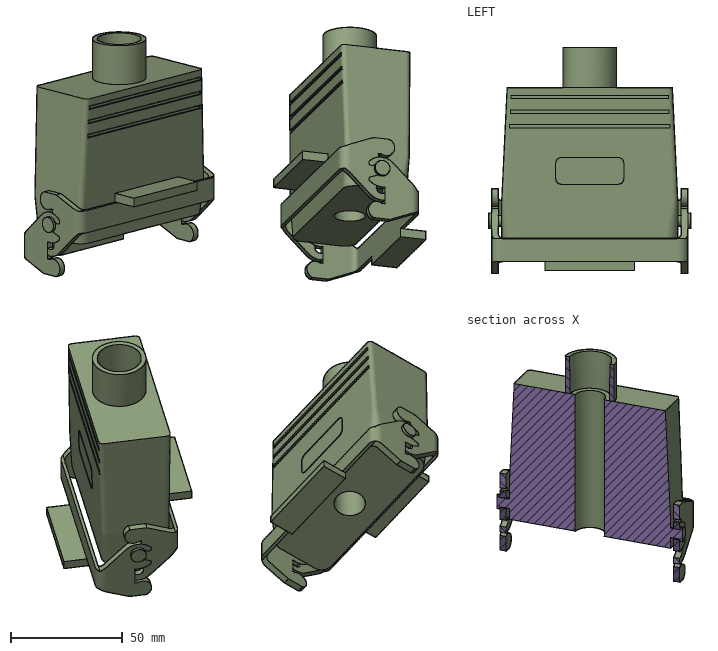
import cadquery as cq
import math


hood_height = 67.2
shoulder_z = 17.1
top_half_width = 16.3
bottom_half_width = 14.85
top_half_length = 36.95
bottom_half_length = 39.35
upper_corner_radius = 2.0
bottom_corner_radius = 5.5
width_taper = (top_half_width - bottom_half_width) / hood_height
length_taper = (bottom_half_length - top_half_length) / (hood_height - shoulder_z)
cable_hole_diameter = 14.0

groove_count = 3
groove_height = 1.5
groove_depth = 0.9
groove_pitch = 6.55
first_groove_drop = 4.2

label_length = 30.4
label_height = 12.0
label_corner_radius = 2.6
label_depth = 0.2
label_z = 30.0

tube_diameter = 24.0
tube_length = 18.0
tube_bore_bottom_diameter = 18.92
tube_bore_top_diameter = 19.66

lever_axis_z = 3.1
pivot_rise = 4.6
hook_bottom = -18.95
lever_outer_x = 18.7
strap_thickness = 1.5
strap_inner_x = lever_outer_x - strap_thickness
lever_outer_y = 43.85
cheek_thickness = 3.05
cheek_inner_y = lever_outer_y - cheek_thickness
bend_outer_radius = 4.25
bend_inner_radius = 2.5

lobe_centre_rise = 2.31
lobe_radius = 7.84
cheek_top_slope = math.radians(44.0)
cheek_bottom_slope = math.radians(21.8)
hook_bottom_start_x = -3.96

mouth_slope = math.radians(19.0)
jaw_tip_radius = 1.23
lower_jaw_radius = 8.5

hook_slot_wall_x = -1.49
hook_slot_floor = -11.72
hook_nose_x = 2.0
hook_nose_rise = -15.2
hook_nose_radius = 4.15

handle_reach = 29.1
handle_length = 40.0
handle_thickness = 4.0

pin_diameter = 4.9
pin_head_diameter = 7.0
pin_end_y = 45.2
pin_root_depth = 1.0
pin_z = lever_axis_z + pivot_rise
mouth_half_width = pin_diameter / 2


def half_width_at(z):
    return bottom_half_width + width_taper * z


def flat_half_length_at(z):
    """Half length of the flat part of a side face above the shoulder."""
    return bottom_half_length - length_taper * (z - shoulder_z) - upper_corner_radius


def rounded_section(z, half_width, half_length, corner_radius):
    sketch = cq.Sketch().rect(2 * half_width, 2 * half_length).vertices().fillet(corner_radius)
    return sketch.moved(cq.Location(cq.Vector(0, 0, z)))


def tapered_block(lower_section, upper_section):
    return cq.Workplane("XY").placeSketch(lower_section, upper_section).loft(ruled=True)


def make_hood_shell():
    bottom = rounded_section(0, bottom_half_width, bottom_half_length, bottom_corner_radius)
    shoulder = rounded_section(
        shoulder_z, half_width_at(shoulder_z), bottom_half_length, upper_corner_radius
    )
    top = rounded_section(hood_height, top_half_width, top_half_length, upper_corner_radius)
    return tapered_block(bottom, shoulder).union(tapered_block(shoulder, top))


def make_groove(index):
    """Bars that cut one groove into both side faces."""
    z = hood_height - first_groove_drop - index * groove_pitch
    floor_x = half_width_at(z) - groove_depth
    bar_width = 4 * groove_depth
    return (
        cq.Workplane("XY")
        .pushPoints([(side * (floor_x + bar_width / 2), 0) for side in (-1, 1)])
        .box(bar_width, 2 * flat_half_length_at(z), groove_height)
        .translate((0, 0, z))
    )


def make_label_recess():
    """Shallow rounded panel that follows the lean of the -X side face."""
    lean = math.degrees(math.atan(width_taper))
    return (
        cq.Workplane("YZ")
        .rect(label_length, label_height)
        .extrude(label_depth, both=True)
        .edges("|X").fillet(label_corner_radius)
        .rotate((0, 0, 0), (0, 1, 0), -lean)
        .translate((-half_width_at(label_z), 0, label_z))
    )


def make_pin(side, start_y):
    """Pin shaft from start_y to the lever's outer face, with a head beyond it."""
    return (
        cq.Workplane("XZ", origin=(0, side * start_y, pin_z))
        .circle(pin_diameter / 2)
        .extrude(-side * (lever_outer_y - start_y))
        .union(
            cq.Workplane("XZ", origin=(0, side * lever_outer_y, pin_z))
            .circle(pin_head_diameter / 2)
            .extrude(-side * (pin_end_y - lever_outer_y))
        )
    )


def make_hood():
    hood = make_hood_shell()
    for index in range(groove_count):
        hood = hood.cut(make_groove(index))
    hood = hood.cut(make_label_recess())
    pin_root_y = bottom_half_length - pin_root_depth
    for side in (-1, 1):
        hood = hood.union(make_pin(side, pin_root_y))
    cable_hole = cq.Workplane("XY").circle(cable_hole_diameter / 2).extrude(hood_height)
    return hood.cut(cable_hole)


def make_tube():
    """Tube on the hood roof with a bore that widens evenly toward its mouth."""
    return (
        cq.Workplane("XZ")
        .moveTo(tube_bore_bottom_diameter / 2, hood_height)
        .lineTo(tube_diameter / 2, hood_height)
        .lineTo(tube_diameter / 2, hood_height + tube_length)
        .lineTo(tube_bore_top_diameter / 2, hood_height + tube_length)
        .close()
        .revolve(360, (0, 0, 0), (0, 1, 0))
    )


def on_circle(centre, radius, angle):
    return (centre[0] + radius * math.cos(angle), centre[1] + radius * math.sin(angle))


def from_pivot(along, across):
    """Point given along the mouth's axis from the pivot, and across it (upward positive)."""
    x = along * math.cos(mouth_slope) + across * math.sin(mouth_slope)
    rise = across * math.cos(mouth_slope) - along * math.sin(mouth_slope)
    return (x, pivot_rise + rise)


def direction(start, end):
    return math.atan2(end[1] - start[1], end[0] - start[0])


lobe_centre = (0, lobe_centre_rise)
lobe_start = on_circle(lobe_centre, lobe_radius, math.pi / 2 + cheek_top_slope)
strap_top = lobe_start[1] - (lobe_start[0] + strap_inner_x) * math.tan(cheek_top_slope)
strap_bottom = hook_bottom + (hook_bottom_start_x + strap_inner_x) * math.tan(cheek_bottom_slope)


def make_lever_outline():
    """Side outline of a lever: strap, snap-on pivot mouth and hook."""
    tip_offset = mouth_half_width + jaw_tip_radius
    pivot = (0, pivot_rise)
    lobe_along = (lobe_centre_rise - pivot_rise) * -math.sin(mouth_slope)
    lobe_across = (lobe_centre_rise - pivot_rise) * math.cos(mouth_slope)
    upper_reach = math.sqrt((lobe_radius - jaw_tip_radius) ** 2 - (tip_offset - lobe_across) ** 2)
    upper_along = lobe_along + upper_reach
    lower_along = math.sqrt((lower_jaw_radius - jaw_tip_radius) ** 2 - tip_offset ** 2)
    upper_tip = from_pivot(upper_along, tip_offset)
    lower_tip = from_pivot(lower_along, -tip_offset)

    upper_tip_angle = direction(lobe_centre, upper_tip)
    lower_tip_angle = direction(pivot, lower_tip)
    lobe_end = on_circle(lobe_centre, lobe_radius, upper_tip_angle)
    lower_arc_start = on_circle(pivot, lower_jaw_radius, lower_tip_angle)
    lower_arc_middle = on_circle(pivot, lower_jaw_radius, (lower_tip_angle - math.pi / 2) / 2)
    hook_slot_roof = pivot_rise - lower_jaw_radius

    nose_centre = (hook_nose_x, hook_nose_rise)
    nose_top_x = hook_nose_x - math.sqrt(hook_nose_radius ** 2 - (hook_slot_floor - hook_nose_rise) ** 2)
    nose_bottom_x = hook_nose_x + math.sqrt(hook_nose_radius ** 2 - (hook_bottom - hook_nose_rise) ** 2)

    return (
        cq.Workplane("XZ")
        .moveTo(-lever_outer_x, strap_top)
        .lineTo(-strap_inner_x, strap_top)
        .lineTo(*lobe_start)
        .threePointArc(on_circle(lobe_centre, lobe_radius, math.pi / 2), lobe_end)
        .threePointArc(on_circle(upper_tip, jaw_tip_radius, 0), from_pivot(upper_along, mouth_half_width))
        .lineTo(*from_pivot(0, mouth_half_width))
        .threePointArc(from_pivot(-mouth_half_width, 0), from_pivot(0, -mouth_half_width))
        .lineTo(*from_pivot(lower_along, -mouth_half_width))
        .threePointArc(on_circle(lower_tip, jaw_tip_radius, 0), lower_arc_start)
        .threePointArc(lower_arc_middle, (0, hook_slot_roof))
        .lineTo(hook_slot_wall_x, hook_slot_roof)
        .lineTo(hook_slot_wall_x, hook_slot_floor)
        .lineTo(nose_top_x, hook_slot_floor)
        .threePointArc(on_circle(nose_centre, hook_nose_radius, 0), (nose_bottom_x, hook_bottom))
        .lineTo(hook_bottom_start_x, hook_bottom)
        .lineTo(-strap_inner_x, strap_bottom)
        .lineTo(-lever_outer_x, strap_bottom)
        .close()
    )


def make_bent_strip():
    """U-shaped strip, open toward +X: a thin strap between two thicker cheeks."""
    strip_height = 4 * abs(hook_bottom)
    strip_end_x = lever_outer_x
    outer = (
        cq.Workplane("XY")
        .box(lever_outer_x + strip_end_x, 2 * lever_outer_y, strip_height)
        .edges("|Z and <X").fillet(bend_outer_radius)
    )
    inner = (
        cq.Workplane("XY")
        .box(strap_inner_x + strip_end_x, 2 * cheek_inner_y, strip_height)
        .edges("|Z and <X").fillet(bend_inner_radius)
        .translate(((lever_outer_x - strap_inner_x) / 2, 0, 0))
    )
    return outer.cut(inner)


def make_lever(turn):
    """One lever, turned about the levers' common axis by the given angle in degrees."""
    handle = (
        cq.Workplane("XY", origin=(-(handle_reach + strap_inner_x) / 2, 0, strap_bottom))
        .rect(handle_reach - strap_inner_x, handle_length)
        .extrude(-handle_thickness)
    )
    return (
        make_lever_outline()
        .extrude(lever_outer_y, both=True)
        .intersect(make_bent_strip())
        .union(handle)
        .rotate((0, 0, 0), (0, 1, 0), turn)
        .translate((0, 0, lever_axis_z))
    )


hood = make_hood()
tube = make_tube()
lower_lever = make_lever(0)

upper_lever = make_lever(180).cut(lower_lever)
for pin_side in (-1, 1):
    upper_lever = upper_lever.cut(make_pin(pin_side, bottom_half_length))

bodies = [hood, tube, lower_lever, upper_lever]
result = cq.Compound.makeCompound([body.solids().val() for body in bodies])